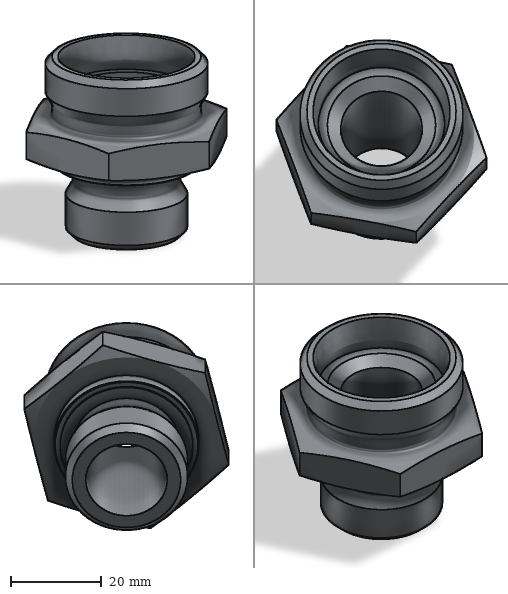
import cadquery as cq
import math

total_height = 41.0

hex_across_flats = 41.0
hex_bottom = 19.05
hex_top = 27.0
hex_chamfer_angle = 15.0
hex_chamfer_radius = 20.45

upper_radius = 36.0 / 2
upper_neck_radius = 33.0 / 2
upper_shoulder = 33.05
upper_relief_fillet = 1.0
upper_base_fillet = 1.2

lower_radius = 27.0 / 2
lower_neck_radius = 23.8 / 2
lower_shoulder = 9.25
lower_relief_fillet = 1.8
end_chamfer = 1.5
relief_angle = 30.0

flange_radius = 31.9 / 2
flange_bottom = 16.2
flange_chamfer = 0.2
seal_radius = 29.3 / 2
seal_bottom = 15.8
seal_recess_depth = 1.5
seal_top = flange_bottom + seal_recess_depth

bore_radius = 18.0 / 2
socket_radius = 28.0 / 2
socket_taper_angle = 12.0
socket_taper_depth = 5.35
socket_depth = 7.57
countersink_radius = 23.9 / 2
countersink_angle = 60.0


def tan_deg(angle):
    return math.tan(math.radians(angle))


def revolve_profile(profile):
    """Revolve a closed (radius, height) profile around Z."""
    return profile.close().revolve(360, (0, 0, 0), (0, 1, 0))


def relief_fillet_points(neck_radius, outer_radius, shoulder, fillet, direction):
    """Cone end, arc middle and neck end of a fillet between a relief cone and its neck.

    The direction is +1 where the cone narrows upward and -1 where it narrows downward.
    """
    tangent_length = fillet * tan_deg(relief_angle / 2)
    corner = shoulder + direction * (outer_radius - neck_radius) / tan_deg(relief_angle)
    neck_end = corner + direction * tangent_length
    points = []
    for angle in (relief_angle, relief_angle / 2, 0.0):
        turn = math.radians(angle)
        radius = neck_radius + fillet * (1 - math.cos(turn))
        points.append((radius, neck_end - direction * fillet * math.sin(turn)))
    return points


def make_lower_connection():
    cone_end, arc_middle, neck_end = relief_fillet_points(
        lower_neck_radius, lower_radius, lower_shoulder, lower_relief_fillet, 1)
    return revolve_profile(
        cq.Workplane("XZ")
        .moveTo(0, 0)
        .lineTo(lower_radius - end_chamfer, 0)
        .lineTo(lower_radius, end_chamfer)
        .lineTo(lower_radius, lower_shoulder)
        .lineTo(*cone_end)
        .threePointArc(arc_middle, neck_end)
        .lineTo(lower_neck_radius, hex_bottom)
        .lineTo(0, hex_bottom)
    )


def make_flange():
    return (
        cq.Workplane("XY", origin=(0, 0, flange_bottom))
        .circle(flange_radius)
        .extrude(hex_bottom - flange_bottom)
        .faces("<Z")
        .chamfer(flange_chamfer)
    )


def make_hexagon():
    across_corners = hex_across_flats / math.cos(math.pi / 6)
    corner_radius = across_corners / 2
    prism = (
        cq.Workplane("XY", origin=(0, 0, hex_bottom))
        .transformed(rotate=(0, 0, 90))
        .polygon(6, across_corners)
        .extrude(hex_top - hex_bottom)
    )
    chamfer_drop = (corner_radius - hex_chamfer_radius) * tan_deg(hex_chamfer_angle)
    envelope = revolve_profile(
        cq.Workplane("XZ")
        .moveTo(0, hex_bottom)
        .lineTo(hex_chamfer_radius, hex_bottom)
        .lineTo(corner_radius, hex_bottom + chamfer_drop)
        .lineTo(corner_radius, hex_top - chamfer_drop)
        .lineTo(hex_chamfer_radius, hex_top)
        .lineTo(0, hex_top)
    )
    return prism.intersect(envelope)


def make_upper_connection():
    cone_end, arc_middle, neck_end = relief_fillet_points(
        upper_neck_radius, upper_radius, upper_shoulder, upper_relief_fillet, -1)
    arc_inset = upper_base_fillet * (1 - math.sqrt(0.5))
    return revolve_profile(
        cq.Workplane("XZ")
        .moveTo(0, hex_top)
        .lineTo(upper_neck_radius + upper_base_fillet, hex_top)
        .threePointArc(
            (upper_neck_radius + arc_inset, hex_top + arc_inset),
            (upper_neck_radius, hex_top + upper_base_fillet),
        )
        .lineTo(*neck_end)
        .threePointArc(arc_middle, cone_end)
        .lineTo(upper_radius, upper_shoulder)
        .lineTo(upper_radius, total_height - end_chamfer)
        .lineTo(upper_radius - end_chamfer, total_height)
        .lineTo(0, total_height)
    )


def make_bore():
    """Through bore with its countersink, straight socket and tapered mouth."""
    mouth_radius = socket_radius + socket_taper_depth * tan_deg(socket_taper_angle)
    socket_floor = total_height - socket_depth
    countersink_depth = (countersink_radius - bore_radius) / tan_deg(countersink_angle)
    return revolve_profile(
        cq.Workplane("XZ")
        .moveTo(0, 0)
        .lineTo(bore_radius, 0)
        .lineTo(bore_radius, socket_floor - countersink_depth)
        .lineTo(countersink_radius, socket_floor)
        .lineTo(socket_radius, socket_floor)
        .lineTo(socket_radius, total_height - socket_taper_depth)
        .lineTo(mouth_radius, total_height)
        .lineTo(0, total_height)
    )


def make_seal():
    """Flat ring around the lower neck, set into the flange and standing out below it."""
    return (
        cq.Workplane("XY", origin=(0, 0, seal_bottom))
        .circle(seal_radius)
        .circle(lower_neck_radius)
        .extrude(seal_top - seal_bottom)
    )


seal = make_seal()
fitting = (
    make_lower_connection()
    .union(make_flange())
    .union(make_hexagon())
    .union(make_upper_connection())
    .cut(make_bore())
    .cut(seal)
)

result = cq.Compound.makeCompound([fitting.val(), seal.val()])